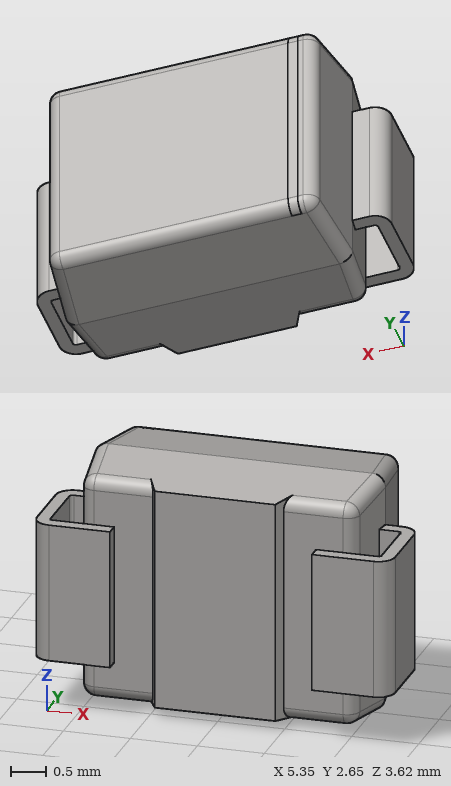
import cadquery as cq
import math


housing_length = 4.335
housing_width = 3.62
upper_height = 1.225
lower_height = 1.065
draft_angle = 7.0
edge_radius = 0.2

pad_bottom = 1.225
pad_length = 1.8
pad_flank_angle = 25.5

band_start = -1.765
band_length = 0.145
band_depth = edge_radius * (1 - math.sin(math.radians(draft_angle)))

overall_length = 5.35
lead_width = 2.08
lead_thickness = 0.205
lead_height = 1.425
lead_outer_radius = 0.25
lead_inner_radius = lead_outer_radius - lead_thickness
foot_length = 1.165


def drafted_block(height):
    """Block from the parting plane that narrows along Y; a negative height goes to -Y."""
    block = (
        cq.Workplane("XZ")
        .rect(housing_length, housing_width)
        .extrude(abs(height), taper=draft_angle)
    )
    if height > 0:
        block = block.mirror("XZ")
    return block


def make_pad():
    """Trapezoidal pad that runs across Z and shares the drafted walls of the lower half."""
    half_bottom = pad_length / 2
    half_top = half_bottom + pad_bottom * math.tan(math.radians(pad_flank_angle))
    trapezoid = (
        cq.Workplane("XY")
        .polyline([
            (-half_top, 0),
            (half_top, 0),
            (half_bottom, -pad_bottom),
            (-half_bottom, -pad_bottom),
        ])
        .close()
        .extrude(housing_width / 2, both=True)
    )
    return drafted_block(-pad_bottom).intersect(trapezoid)


def make_moulding():
    """Rounded two-part moulding with its pad, before the band is let in."""
    upper = drafted_block(upper_height).edges("not <Y").fillet(edge_radius)
    lower = drafted_block(-lower_height).edges("not >Y").fillet(edge_radius)
    return upper.union(lower).union(make_pad())


def make_band_region():
    """Box that marks off the slice of the moulding taken by the band."""
    return (
        cq.Workplane("XY")
        .box(band_length, band_depth, housing_width, centered=(False, False, True))
        .translate((band_start, upper_height - band_depth, 0))
    )


def make_lead(moulding):
    """C-shaped lead at the -X end, butting against the sloping housing wall."""
    outer_x = -overall_length / 2
    blank = (
        cq.Workplane("XY")
        .box(foot_length, lead_height, lead_width, centered=(False, False, True))
        .translate((outer_x, -lead_height, 0))
        .edges("|Z and <X")
        .fillet(lead_outer_radius)
    )
    opening = (
        cq.Workplane("XY")
        .box(
            foot_length - lead_thickness,
            lead_height - 2 * lead_thickness,
            lead_width,
            centered=(False, False, True),
        )
        .translate((outer_x + lead_thickness, lead_thickness - lead_height, 0))
        .edges("|Z and <X")
        .fillet(lead_inner_radius)
    )
    outside = blank.cut(opening).cut(moulding)
    return outside.solids("<X")


moulding = make_moulding()
band_region = make_band_region()
housing = moulding.cut(band_region).solids()
polarity_band = moulding.intersect(band_region).solids()

left_lead = make_lead(moulding)
leads = []
for turn in (0, 180):
    leads.append(left_lead.val().rotate(cq.Vector(0, 0, 0), cq.Vector(0, 1, 0), turn))

result = cq.Compound.makeCompound([housing.val(), polarity_band.val(), *leads])